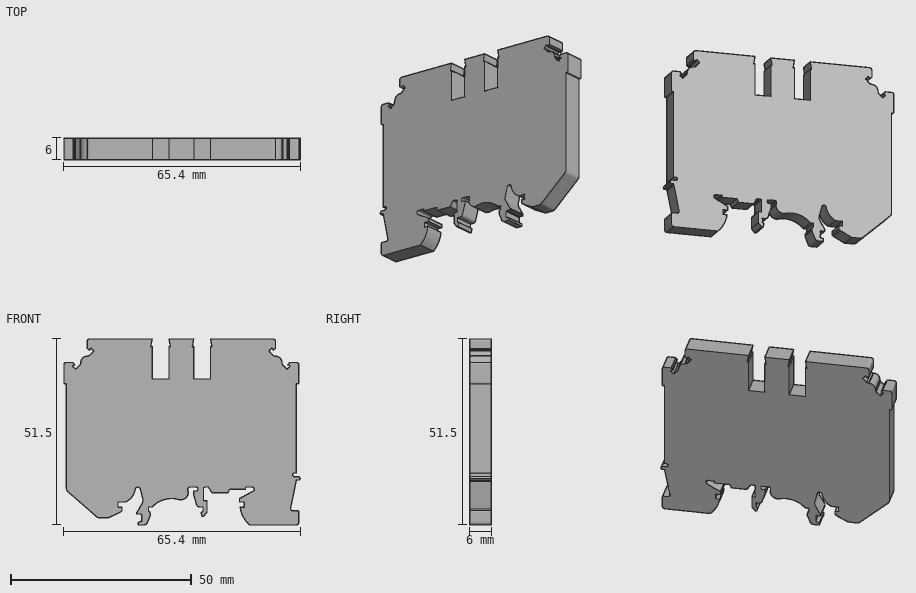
import cadquery as cq

height = 51.5
thickness = 6.0
half_wall = 31.8
half_lip = 32.5
half_head = 26.1
finger_reach = 32.9
margin = 3.3

corner_offset = 18.9
lip_top = half_head + corner_offset
lip_bottom = 39.0
lip_round = 0.65
lip_bottom_round = 0.3
head_round = 0.8
half_shoulder = 27.85
shoulder_top = half_shoulder + corner_offset
shoulder_round = 1.8
notch_overrun = 0.1

slot_center = 5.75
slot_width = 4.6
slot_floor = 40.4
slot_mouth_depth = 2.15
slot_undercut = 0.4
probe_radius = 1.3

screw_centers = (12.6, 21.4)
screw_radius = 2.2
driver_slot_width = 1.05
driver_slot_angle = -45
hole_line_y = 3.45
seam_depth = 0.65

panel_levels = ((20.7, 21.7, 26.8, 27.85), (29.6, 31.75, 36.65, 38.7))
panel_edge = 0.05
panel_inner_y = (1.6, 5.0)

rail_seat = 10.45
ledge_top = 6.35
ledge_bottom = 4.95
skirt_bottom = 1.95
skirt_corner = 9.6
skirt_round = 1.45

foot_top = 4.0
foot_round = 0.4
foot_bottom_round = 0.8
finger_top = 13.4
finger_bottom = 12.4
finger_root = 30.8
relief_top = 14.4


def prism(start, *steps):
    """Closed XZ profile through the plate; a step is (x, z) or an arc (mid x, mid z, x, z)."""
    path = cq.Workplane("XZ").moveTo(*start)
    for step in steps:
        if len(step) == 2:
            path = path.lineTo(*step)
        else:
            path = path.threePointArc(step[:2], step[2:])
    return path.close().extrude(-thickness)


def block(x_min, x_max, z_min, z_max):
    size = (x_max - x_min, thickness, z_max - z_min)
    return cq.Workplane("XY").box(*size, centered=False).translate((x_min, 0, z_min))


def both_sides(shape):
    return shape.union(shape.mirror("YZ"))


def housing():
    wall = block(-half_wall, half_wall, 0, lip_bottom + lip_bottom_round)
    lips = block(-half_lip, half_lip, lip_bottom, lip_top).edges("|Y and >Z").fillet(lip_round)
    lips = lips.edges("|Y and <Z").fillet(lip_bottom_round)
    shoulder = block(-half_shoulder, half_shoulder, lip_bottom, shoulder_top)
    shoulder = shoulder.edges("|Y and >Z").fillet(shoulder_round)
    head = block(-half_head, half_head, lip_bottom, height).edges("|Y and >Z").fillet(head_round)
    return wall.union(lips).union(shoulder).union(head)


def hook_notches():
    """Notches that leave a hook under the head and another at the inner end of each lip."""
    upper = (
        (half_head + notch_overrun, 48.9),
        (25.6, 48.55),
        (25.4, 48.3),
        (25.0, 48.95),
        (24.25, 48.1),
        (25.35, 46.9),
        (25.9, shoulder_top),
        (half_head + notch_overrun, shoulder_top),
    )
    lower = [(z - corner_offset, x + corner_offset) for x, z in upper]
    return both_sides(prism(*upper).union(prism(*lower)))


def probe_slots():
    half = slot_width / 2
    mouth_z = height - slot_mouth_depth
    slot = block(slot_center - half, slot_center + half, slot_floor, height)
    mouth = prism(
        (slot_center - half, height),
        (slot_center + half, height),
        (slot_center + half + slot_undercut, mouth_z),
        (slot_center - half - slot_undercut, mouth_z),
    )
    return both_sides(slot.union(mouth))


def skirt_and_lever_gap():
    """Space below the sloping skirt and up between the skirt and the spring lever."""
    return prism(
        (-half_lip, -margin),
        (-half_lip, skirt_corner),
        (-half_wall, skirt_corner),
        (-23.6, 2.4),
        (-23.15, 2.1, -22.55, skirt_bottom),
        (-20.1, skirt_bottom),
        (-16.8, 3.6),
        (-16.4, 4.0),
        (-16.4, ledge_bottom),
        (-17.45, ledge_bottom),
        (-17.45, ledge_top),
        (-15.4, ledge_top),
        (-13.85, 7.5, -12.75, 9.8),
        (-12.0, rail_seat, -11.4, 10.0),
        (-10.8, 7.6),
        (-10.65, 6.8, -10.85, 6.0),
        (-12.35, 3.4),
        (-12.35, 3.0),
        (-11.25, 3.0),
        (-11.0, 2.8),
        (-11.0, 1.1),
        (-11.95, 0.7),
        (-11.95, -margin),
    )


def rail_arch():
    """Arched opening between the spring lever and the middle clip."""
    return prism(
        (-10.25, -margin),
        (-10.25, 0),
        (-9.75, 0.2, -9.4, 0.6),
        (-8.5, 2.8),
        (-8.6, 3.6),
        (-9.0, 3.85),
        (-9.0, ledge_bottom),
        (-8.05, ledge_bottom),
        (-4.6, 7.05, -0.65, 7.0),
        (1.1, 7.4, 1.95, 9.15),
        (1.8, 9.4),
        (1.8, 10.2),
        (2.15, rail_seat),
        (4.05, rail_seat),
        (4.6, 9.95, 4.05, 9.4),
        (3.4, 9.4),
        (3.4, 8.35),
        (4.2, 5.6),
        (4.5, 5.15, 5.1, ledge_bottom),
        (5.95, ledge_bottom),
        (5.95, 3.8),
        (5.4, 3.45),
        (5.75, 2.35),
        (5.75, -margin),
    )


def rail_opening():
    """Opening between the middle clip and the mounting foot."""
    return prism(
        (5.75, -margin),
        (5.75, 2.35),
        (6.15, 2.35),
        (7.1, 3.6),
        (7.1, 6.7),
        (6.15, 6.7),
        (6.15, 10.25),
        (6.55, rail_seat),
        (7.45, rail_seat),
        (8.5, 8.9),
        (12.9, 8.9),
        (13.3, 9.9),
        (17.8, 9.9),
        (17.8, rail_seat),
        (19.6, rail_seat),
        (20.05, 10.05, 20.0, 9.5),
        (16.0, 7.3),
        (16.0, ledge_top),
        (17.4, ledge_top),
        (17.4, ledge_bottom),
        (16.2, ledge_bottom),
        (17.1, 2.15, 18.9, 0),
        (18.9, -margin),
    )


def foot():
    shape = block(0, half_lip, 0, foot_top)
    shape = shape.edges("|Y and >X and >Z").fillet(foot_round)
    return shape.edges("|Y and >X and <Z").fillet(foot_bottom_round)


def side_relief():
    """Sloping recess in the +X wall between the foot and the release finger."""
    return prism(
        (half_lip, foot_top),
        (30.6, foot_top),
        (30.2, 4.45),
        (31.75, 12.1),
        (32.1, finger_bottom),
        (half_lip, finger_bottom),
    )


def finger_gap():
    gap_center = (finger_top + relief_top) / 2
    gap_radius = (relief_top - finger_top) / 2
    gap_end = finger_root + gap_radius
    return prism(
        (half_lip, finger_top),
        (gap_end, finger_top),
        (gap_end - gap_radius, gap_center, gap_end, relief_top),
        (half_lip, relief_top),
    )


def finger():
    return prism(
        (finger_root, finger_bottom),
        (32.7, finger_bottom),
        (finger_reach, 12.9),
        (32.55, finger_top),
        (finger_root, finger_top),
    )


def with_seams(body, insert):
    """Joins a flush insert while keeping its outline as a seam in the surface."""
    return body.union(insert, clean=False)


def round_insert(x, surface_z, radius):
    base = cq.Workplane("XY", origin=(x, hole_line_y, surface_z - seam_depth))
    return base.circle(radius).extrude(seam_depth)


def driver_slot(screw, x):
    bar = cq.Workplane("XY").box(2 * screw_radius, driver_slot_width, 2 * seam_depth)
    bar = bar.rotate((0, 0, 0), (0, 0, 1), driver_slot_angle)
    return screw.intersect(bar.translate((x, hole_line_y, height)))


def panel_facets(levels):
    """Centre field of a wire-entry panel and the four facets of its frame."""
    outer_low, inner_low, inner_high, outer_high = levels
    y_low, y_high = panel_inner_y
    outer = (
        (panel_edge, outer_low),
        (thickness - panel_edge, outer_low),
        (thickness - panel_edge, outer_high),
        (panel_edge, outer_high),
    )
    inner = ((y_low, inner_low), (y_high, inner_low), (y_high, inner_high), (y_low, inner_high))
    outlines = [inner]
    for i in range(4):
        j = (i + 1) % 4
        outlines.append((outer[i], outer[j], inner[j], inner[i]))
    wall = cq.Workplane("YZ", origin=(-half_wall, 0, 0))
    return [wall.polyline(outline).close().extrude(seam_depth) for outline in outlines]


body = housing().cut(hook_notches()).cut(probe_slots())
body = body.cut(finger_gap()).union(finger()).union(foot()).cut(side_relief())
body = body.cut(skirt_and_lever_gap()).cut(rail_arch()).cut(rail_opening())

skirt_edge = cq.selectors.NearestToPointSelector((-half_wall, thickness / 2, skirt_corner))
body = body.edges(skirt_edge).fillet(skirt_round)

for side in (-1, 1):
    body = with_seams(body, round_insert(side * slot_center, slot_floor, probe_radius))
    for distance in screw_centers:
        screw_x = side * distance
        screw = round_insert(screw_x, height, screw_radius)
        body = with_seams(body, screw)
        body = with_seams(body, driver_slot(screw, screw_x))

for panel in panel_levels:
    for facet in panel_facets(panel):
        body = with_seams(body, facet)

result = body